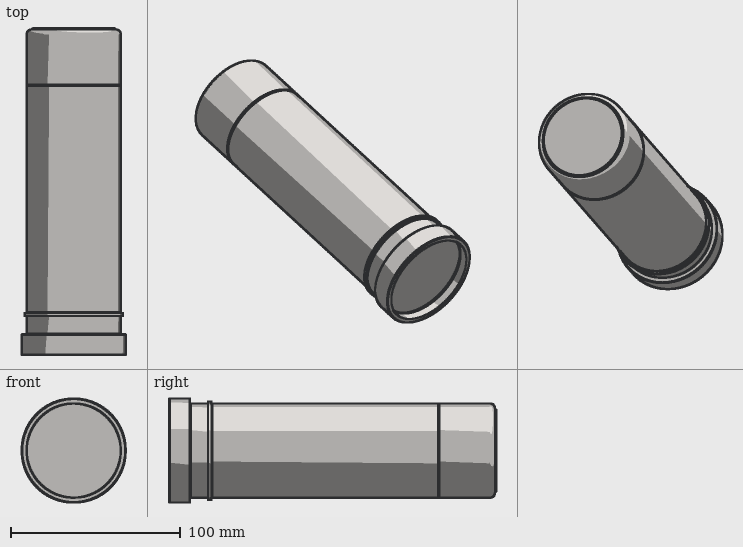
import cadquery as cq
import math

length = 192.5
body_diameter = 55.6

rim_radius = 3.0
boss_height = 0.8
boss_bevel = 1.0

collar_diameter = 61.5
collar_length = 12.3
collar_chamfer = 0.4
recess_diameter = 55.6
recess_depth = 5.5
recess_step_diameter = 55.3
recess_step_depth = 0.8

ring_diameter = 58.0
ring_width = 2.0
ring_offset = 23.0

groove_diameter = 55.3
shoulder_groove_width = 0.5
cap_groove_width = 1.0
cap_length = 33.3

collar_end_y = -length / 2
closed_end_y = length / 2


def disc(diameter, start_y, width):
    """Solid cylinder along +Y, starting at start_y."""
    return cq.Workplane("XZ", origin=(0, start_y, 0)).circle(diameter / 2).extrude(-width)


def groove(start_y, width):
    """Ring of material to cut away for one fine groove around the body."""
    return disc(collar_diameter, start_y, width).cut(disc(groove_diameter, start_y, width))


def closed_body():
    """Cylinder with a rounded rim and a raised bevelled boss at its +Y end, turned from half its outline."""
    body_radius = body_diameter / 2
    boss_base_radius = body_radius - rim_radius
    boss_top_radius = boss_base_radius - boss_bevel
    boss_base_y = closed_end_y - boss_height
    rim_start_y = boss_base_y - rim_radius
    rim_middle = (
        boss_base_radius + rim_radius * math.sqrt(0.5),
        rim_start_y + rim_radius * math.sqrt(0.5),
    )
    return (
        cq.Workplane("XY")
        .moveTo(0, collar_end_y)
        .lineTo(body_radius, collar_end_y)
        .lineTo(body_radius, rim_start_y)
        .threePointArc(rim_middle, (boss_base_radius, boss_base_y))
        .lineTo(boss_top_radius, closed_end_y)
        .lineTo(0, closed_end_y)
        .close()
        .revolve(360, (0, 0, 0), (0, 1, 0))
    )


collar = disc(collar_diameter, collar_end_y, collar_length).edges().chamfer(collar_chamfer)
ring_start_y = collar_end_y + ring_offset
ring = disc(ring_diameter, ring_start_y, ring_width)
result = closed_body().union(collar).union(ring)

result = result.cut(groove(collar_end_y + collar_length, shoulder_groove_width))
result = result.cut(groove(ring_start_y + ring_width, shoulder_groove_width))
result = result.cut(groove(closed_end_y - cap_length - cap_groove_width, cap_groove_width))

result = result.cut(disc(recess_diameter, collar_end_y, recess_depth))
result = result.cut(disc(recess_step_diameter, collar_end_y + recess_depth, recess_step_depth))